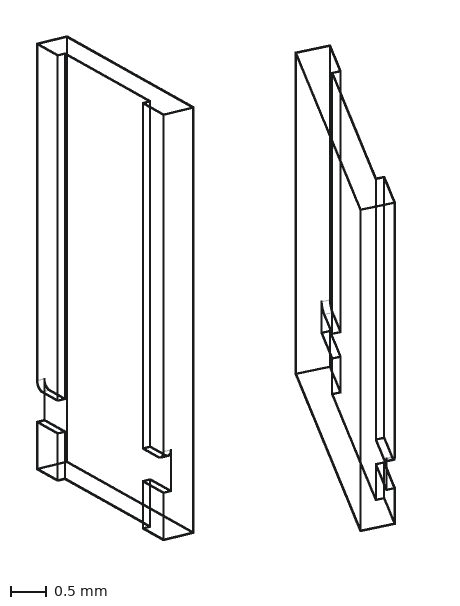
import cadquery as cq

width = 3.2
depth = 0.5
height = 6.38

strip_width = 0.52
strip_relief = 0.12
pad_height = 0.71
rail_bottom = 1.2
corner_radius = 0.13

floor_depth = depth - strip_relief


def raised_strip(x_start, z_start, z_end):
    """Block standing proud of the floor, with its front face at Y = 0."""
    return cq.Workplane("XY").box(
        strip_width, strip_relief, z_end - z_start, centered=False
    ).translate((x_start, 0, z_start))


result = cq.Workplane("XY").box(width, floor_depth, height, centered=False).translate((0, strip_relief, 0))

for x_start, outer_side in ((0, "<X"), (width - strip_width, ">X")):
    pad = raised_strip(x_start, 0, pad_height)
    rail = raised_strip(x_start, rail_bottom, height)
    rail = rail.faces(outer_side).edges("<Z").fillet(corner_radius)
    result = result.union(pad).union(rail)